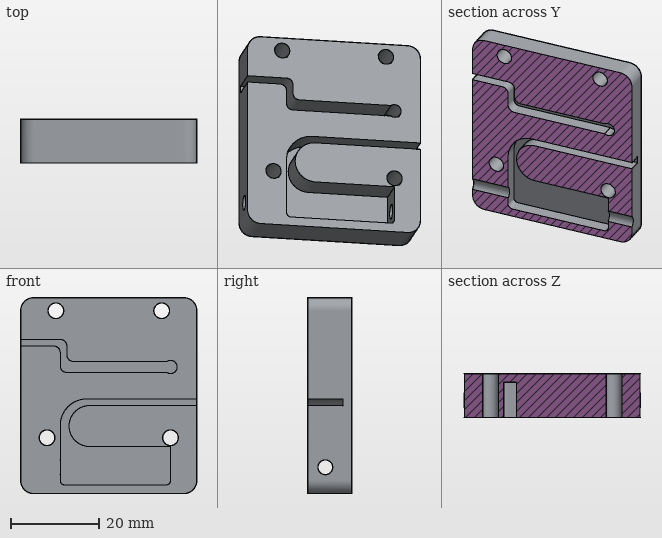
import cadquery as cq

width = 40.0
thickness = 10.0
height = 44.5
corner_radius = 3.0

back_wall = 2.0
cut_depth = thickness - back_wall

mount_hole_diameter = 3.5
upper_hole_spacing = 24.0
upper_hole_z = height - 3.0
lower_hole_spacing = 28.0
lower_hole_z = 12.7

cross_hole_diameter = 3.3
cross_hole_y = 4.0
cross_hole_z = 6.0

cut_left = 9.0
cut_right = 34.0
groove_width = 1.5

step_top = 35.0
run_bottom = 27.5
run_width = 2.5
run_top = run_bottom + run_width
step_bend_radius = 1.5
round_end_diameter = 3.0

pocket_bottom = 2.0
pocket_corner_radius = 1.0
channel_top = 21.5
channel_bend_radius = 6.0
tongue_left = 11.0
tongue_top = channel_top - groove_width
tongue_bottom = 10.7
tongue_radius = (tongue_top - tongue_bottom) / 2


def front_plane():
    """Sketch plane on the front face; its normal points out, so depths into the block are negative."""
    return cq.Workplane("XZ")


def make_block():
    block = front_plane().rect(width, height, centered=False).extrude(-thickness)
    return block.edges("|Y").fillet(corner_radius)


def mounting_holes():
    centers = []
    for spacing, z in ((upper_hole_spacing, upper_hole_z), (lower_hole_spacing, lower_hole_z)):
        for side in (-1, 1):
            centers.append((width / 2 + side * spacing / 2, z))
    return front_plane().pushPoints(centers).circle(mount_hole_diameter / 2).extrude(-thickness)


def cross_hole():
    return (
        cq.Workplane("YZ")
        .center(cross_hole_y, cross_hole_z)
        .circle(cross_hole_diameter / 2)
        .extrude(width)
    )


def stepped_groove():
    drop_right = cut_left + groove_width
    path = (
        front_plane()
        .moveTo(0, step_top)
        .lineTo(drop_right, step_top)
        .lineTo(drop_right, run_top)
        .lineTo(cut_right, run_top)
        .lineTo(cut_right, run_bottom)
        .lineTo(cut_left, run_bottom)
        .lineTo(cut_left, step_top - groove_width)
        .lineTo(0, step_top - groove_width)
        .close()
        .extrude(-cut_depth)
    )
    bends = cq.selectors.BoxSelector((cut_left / 2, 0, 0), (width / 2, thickness, height))
    path = path.edges("|Y").edges(bends).fillet(step_bend_radius)
    round_end = (
        front_plane()
        .center(cut_right, (run_top + run_bottom) / 2)
        .circle(round_end_diameter / 2)
        .extrude(-cut_depth)
    )
    return path.union(round_end)


def pocket_and_channel():
    tongue_center_x = tongue_left + tongue_radius
    outline = (
        front_plane()
        .moveTo(width, channel_top)
        .lineTo(cut_left + channel_bend_radius, channel_top)
        .radiusArc((cut_left, channel_top - channel_bend_radius), -channel_bend_radius)
        .lineTo(cut_left, pocket_bottom)
        .lineTo(cut_right, pocket_bottom)
        .lineTo(cut_right, tongue_bottom)
        .lineTo(tongue_center_x, tongue_bottom)
        .threePointArc((tongue_left, tongue_bottom + tongue_radius), (tongue_center_x, tongue_top))
        .lineTo(width, tongue_top)
        .close()
        .extrude(-cut_depth)
    )
    lower_corners = cq.selectors.BoxSelector((0, 0, 0), (width, thickness, tongue_bottom / 2))
    return outline.edges("|Y").edges(lower_corners).fillet(pocket_corner_radius)


result = (
    make_block()
    .cut(stepped_groove())
    .cut(pocket_and_channel())
    .cut(mounting_holes())
    .cut(cross_hole())
)